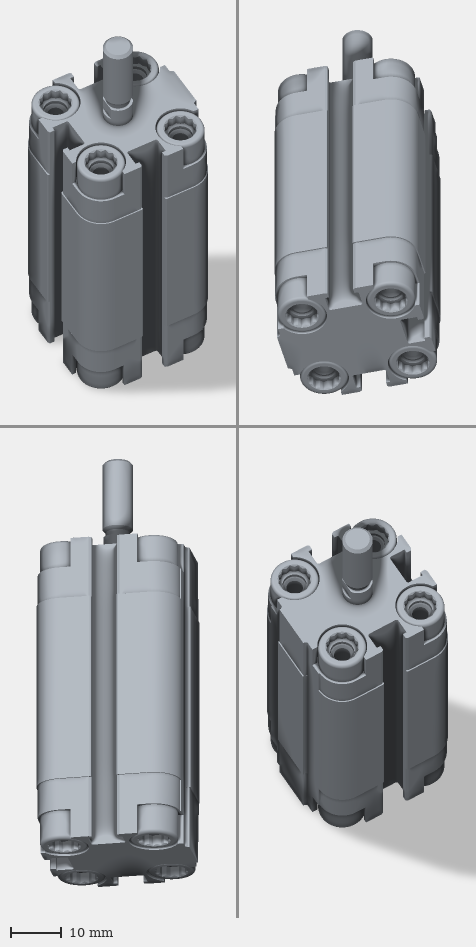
import cadquery as cq
import math

overall_width = 29.0
overall_depth = 30.0
overall_height = 83.5

housing_height = 63.05
cap_height = 12.5
tube_half_width = overall_width / 2
cap_step = 0.25
corner_center = 9.0

slot_mouth_half_width = 2.6
slot_inner_half_width = 3.4
slot_lip_depth = 12.95
slot_floor = 9.4
slot_floor_radius = 0.4
tube_lip_chamfer = 0.25
cap_lip_chamfer = 0.5

rib_top = overall_depth - tube_half_width
rib_half_width = 4.8
rib_neck_half_width = 4.5
rib_foot_half_width = 5.0
rib_neck_drop = 0.5

boss_diameter = 9.5
boss_rounding = 0.7
boss_drop = 0.2
seat_diameter = 9.85
pocket_depth = 6.0
pocket_edge = 6.7

socket_mouth_diameter = 6.7
socket_tip_diameter = 6.6
socket_root_diameter = 6.0
socket_points = 12
socket_depth = 2.25
bore_diameter = 4.8
bore_depth = 0.75
countersink_diameter = 4.2
through_hole_diameter = 3.25

rod_diameter = 6.0
rod_length = overall_height - housing_height
rod_shoulder_height = 4.5
rod_flat_bottom = 1.7
rod_across_flats = 5.0
rod_neck_diameter = 4.8
rod_neck_length = 1.25
rod_chamfer = 0.6

corners = [(x, y) for x in (-corner_center, corner_center) for y in (-corner_center, corner_center)]


def rounded_prism(half_width, height):
    """Square block whose corner arcs are centred on the corner holes."""
    return (
        cq.Workplane("XY")
        .rect(2 * half_width, 2 * half_width)
        .extrude(height)
        .edges("|Z")
        .fillet(half_width - corner_center)
    )


def rib(face, inset, height):
    """Rib on the +Y face, rooted just inside the face."""
    neck_y = rib_top - rib_neck_drop
    top_half_width = rib_half_width - inset
    right_side = [
        (rib_foot_half_width, slot_lip_depth),
        (rib_foot_half_width, face),
        (rib_neck_half_width, neck_y),
        (top_half_width, rib_top - inset),
    ]
    left_side = [(-x, y) for x, y in reversed(right_side)]
    return cq.Workplane("XY").polyline(right_side + left_side).close().extrude(height)


def slot(face, lip_chamfer, height):
    """Cutter for the T-slot of the -Y face."""
    mouth = (
        cq.Workplane("XY")
        .polyline([
            (-slot_mouth_half_width, -slot_floor - slot_floor_radius),
            (-slot_mouth_half_width, -face + lip_chamfer / 2),
            (-slot_mouth_half_width - lip_chamfer, -face),
            (slot_mouth_half_width + lip_chamfer, -face),
            (slot_mouth_half_width, -face + lip_chamfer / 2),
            (slot_mouth_half_width, -slot_floor - slot_floor_radius),
        ])
        .close()
        .extrude(height)
    )
    chamber = (
        cq.Workplane("XY")
        .center(0, -(slot_lip_depth + slot_floor) / 2)
        .rect(2 * slot_inner_half_width, slot_lip_depth - slot_floor)
        .extrude(height)
        .edges("|Z and >Y")
        .fillet(slot_floor_radius)
    )
    return mouth.union(chamber)


def section(inset, lip_chamfer, bottom, height):
    """One length of the housing profile, with its rib and three slots."""
    face = tube_half_width - inset
    body = rounded_prism(face, height).union(rib(face, inset, height))
    for angle in (-90, 0, 90):
        cutter = slot(face, lip_chamfer, height)
        body = body.cut(cutter.rotate((0, 0, 0), (0, 0, 1), angle))
    return body.translate((0, 0, bottom))


def cap_pad(bottom):
    """Flats beside the rib of a cap, flush with the +Y face of the tube."""
    return (
        cq.Workplane("XY", origin=(0, (slot_lip_depth + tube_half_width) / 2, bottom))
        .rect(2 * corner_center, tube_half_width - slot_lip_depth)
        .extrude(cap_height)
    )


def socket_outline():
    """Twelve-pointed star of the socket."""
    points = []
    for i in range(2 * socket_points):
        radius = (socket_root_diameter if i % 2 else socket_tip_diameter) / 2
        angle = math.pi * (i + 1) / socket_points
        points.append((radius * math.cos(angle), radius * math.sin(angle)))
    return points


def corner_recess(x, y):
    """Cutter at one top corner: the open pocket and the seat around the boss."""
    pocket_size = tube_half_width - pocket_edge
    pocket_center = (tube_half_width + pocket_edge) / 2
    pocket = (
        cq.Workplane("XY", origin=(0, 0, housing_height))
        .center(math.copysign(pocket_center, x), math.copysign(pocket_center, y))
        .rect(pocket_size, pocket_size)
        .extrude(-pocket_depth)
    )
    seat = cq.Workplane("XY", origin=(x, y, housing_height)).circle(seat_diameter / 2).extrude(-pocket_depth)
    return pocket.union(seat)


def boss(x, y):
    """Rounded corner boss, standing on the pocket floor."""
    return (
        cq.Workplane("XY", origin=(x, y, housing_height - pocket_depth))
        .circle(boss_diameter / 2)
        .extrude(pocket_depth - boss_drop)
        .faces(">Z")
        .edges()
        .fillet(boss_rounding)
    )


def stepped_hole(x, y):
    """Cutter for one hole: chamfered star socket, bore, countersink and half of the through hole."""
    mouth_radius = socket_mouth_diameter / 2
    root_radius = socket_root_diameter / 2
    bore_radius = bore_diameter / 2
    hole_radius = through_hole_diameter / 2
    bore_bottom = socket_depth + bore_depth
    countersink_radius = countersink_diameter / 2
    cone_bottom = bore_bottom + countersink_radius - hole_radius
    half_length = housing_height / 2 - boss_drop
    steps = (
        cq.Workplane("XZ")
        .polyline([
            (0, 0),
            (mouth_radius, 0),
            (root_radius, root_radius - mouth_radius),
            (root_radius, -socket_depth),
            (bore_radius, -socket_depth),
            (bore_radius, -bore_bottom),
            (countersink_radius, -bore_bottom),
            (hole_radius, -cone_bottom),
            (hole_radius, -half_length),
            (0, -half_length),
        ])
        .close()
        .revolve(360, (0, 0, 0), (0, 1, 0))
    )
    star = cq.Workplane("XY").polyline(socket_outline()).close().extrude(-socket_depth)
    return steps.union(star).translate((x, y, housing_height - boss_drop))


def turned_over(shape):
    """Copy of a top-end shape for the bottom end."""
    return shape.mirror("XY", (0, 0, housing_height / 2))


def make_housing():
    tube_height = housing_height - 2 * cap_height
    body = section(0, tube_lip_chamfer, cap_height, tube_height)
    for bottom in (0, housing_height - cap_height):
        body = body.union(section(cap_step, cap_lip_chamfer, bottom, cap_height))
        body = body.union(cap_pad(bottom))

    for x, y in corners:
        recess = corner_recess(x, y)
        post = boss(x, y)
        hole = stepped_hole(x, y)
        body = body.cut(recess).cut(turned_over(recess))
        body = body.union(post).union(turned_over(post))
        body = body.cut(hole).cut(turned_over(hole))
    return body


def make_rod():
    """Rod standing on the housing: shoulder with two flats, neck and chamfered shank."""
    radius = rod_diameter / 2
    neck_radius = rod_neck_diameter / 2
    neck_top = rod_shoulder_height + rod_neck_length
    rod = (
        cq.Workplane("XZ")
        .polyline([
            (0, 0),
            (radius, 0),
            (radius, rod_shoulder_height),
            (neck_radius, rod_shoulder_height),
            (neck_radius, neck_top),
            (radius, neck_top + radius - neck_radius),
            (radius, rod_length - rod_chamfer),
            (radius - rod_chamfer, rod_length),
            (0, rod_length),
        ])
        .close()
        .revolve(360, (0, 0, 0), (0, 1, 0))
    )
    for side in (-1, 1):
        flat = (
            cq.Workplane("XY", origin=(0, side * (rod_across_flats + rod_diameter) / 2, rod_flat_bottom))
            .rect(rod_diameter, rod_diameter)
            .extrude(rod_shoulder_height - rod_flat_bottom)
        )
        rod = rod.cut(flat)
    return rod.translate((0, 0, housing_height))


housing = make_housing()
rod = make_rod()
result = cq.Compound.makeCompound([housing.solids().val(), rod.solids().val()])